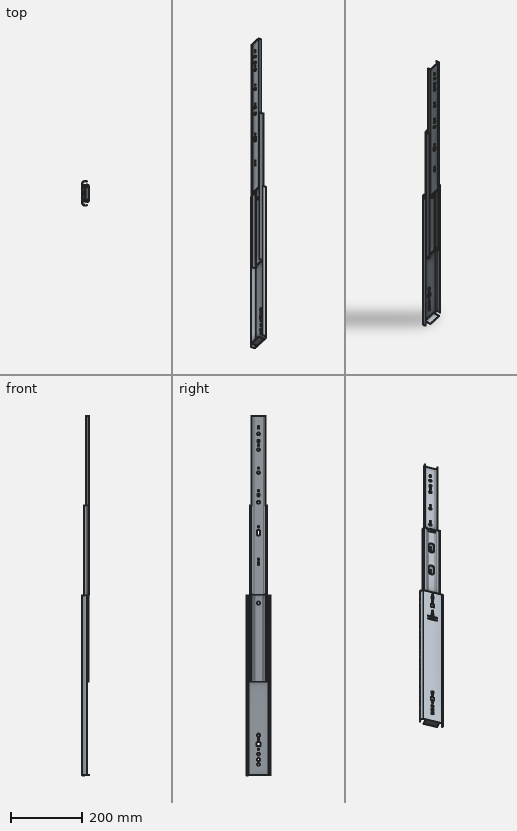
import cadquery as cq
import math

SHEET = 1.5

OUTER_BOTTOM, OUTER_TOP = -503.0, 1.0
OUTER_BACK = -10.0
OUTER_HALF_WIDTH = 70.0 / 2
LIP_X = -0.8
LIP_RADIUS = 9.6
LIP_BEND_END = 34
END_TAB_HALF_WIDTH = 20.0
END_TAB_FRONT = 10.0
LUG_BOTTOM = -505.0
LUG_X = -6.0
LUG_Y = -31.0
LUG_SIZE_X, LUG_SIZE_Y = 4.0, 2.0
BRIDGE_Z = -100.0
BRIDGE_HEIGHT = 10.0
BRIDGE_HALF_WIDTH = 14.0
BRIDGE_FLAT_HALF_WIDTH = 7.0
BRIDGE_DEPTH = 3.0

MIDDLE_BOTTOM, MIDDLE_TOP = -242.0, 254.0
MIDDLE_BACK = -4.5
CHANNEL_FLOOR = -1.0
CHANNEL_FLOOR_HALF = 10.0
CHANNEL_MOUTH_HALF = 17.0
GROOVE_X, GROOVE_Y, GROOVE_RADIUS = -1.0, 29.0, 6.0
ROLL_X, ROLL_RADIUS = 4.5, 4.3
ROLL_END = 95

INNER_BOTTOM, INNER_TOP = 3.0, 505.0
INNER_FRONT = 10.0
INNER_BACK = 1.0
INNER_HALF_WIDTH = 39.0 / 2
INNER_GROOVE_DEPTH = 0.7
INNER_WEB_HALF = 27.0 / 2
ROOT_X = 5.0

BUMPER_HEIGHT = 9.0
BUMPER_DEPTH = 2.0
BUMPER_SIDE_DEPTH = 1.4
BUMPER_FLAT_HALF = 5.0

TOOL_REACH = INNER_FRONT - OUTER_BACK
HOLE_DIAMETER = 8.0
SCREW_DIAMETER = 7.0
PILOT_DIAMETER = 4.0
PILOT_SLOT = (4.0, 8.0)
INNER_HOLES = [263.0]
INNER_SCREWS = [455.0, 435.0, 410.0, 346.0, 283.0]
INNER_PILOTS = [422.0, 359.0, 295.0]
INNER_PILOT_SLOT_Z = 473.0
ACCESS_Z = -20.0
OUTER_HOLES = [ACCESS_Z, -391.0, -460.0]
OUTER_SCREWS = [-87.0, -445.0, -473.0]
OUTER_PILOTS = [-431.0]
OUTER_PILOT_SLOTS = [-11.0, -75.0]
OUTER_KEYWAYS = [(ACCESS_Z, -52.0), (-391.0, -416.0)]
KEYWAY_NECK = 4.0
KEYWAY_SQUARE = 10.0
MIDDLE_WINDOWS = [183.0, 97.0]
WINDOW_SIZE = (15.0, 34.0)
INNER_LOW_PILOTS = [194.0, 103.0]
INNER_LOW_SLOTS = [(177.0, (8.0, 16.0)), (91.0, (4.0, 9.0))]


def polar(x, y, radius, angle):
    """Point on a circle, its angle measured in degrees from +Y towards +X."""
    turn = math.radians(angle)
    return (x + radius * math.sin(turn), y + radius * math.cos(turn))


def rail(half_section, bottom, top):
    """Extrude half a section along Z and mirror it about Y = 0."""
    half = half_section.close().extrude(top - bottom).translate((0, 0, bottom))
    return half.union(half.mirror("XZ"))


def web_tool(z):
    """Workplane on the back of the outer web at height z, facing +X: local x is Y, local y is Z."""
    return cq.Workplane("YZ", origin=(OUTER_BACK, 0, z))


def round_holes(heights, diameter):
    tools = [web_tool(z).circle(diameter / 2).extrude(TOOL_REACH).val() for z in heights]
    return cq.Compound.makeCompound(tools)


def slot(z, size):
    width, length = size
    return web_tool(z).slot2D(length, width, 90).extrude(TOOL_REACH)


def make_outer_rail():
    lip_y = OUTER_HALF_WIDTH - LIP_RADIUS
    web_front = OUTER_BACK + SHEET
    inner_radius = LIP_RADIUS - SHEET

    def lip_start(x, radius):
        return (x, lip_y + math.sqrt(radius**2 - (x - LIP_X) ** 2))

    section = (
        cq.Workplane("XY")
        .moveTo(OUTER_BACK, 0)
        .lineTo(*lip_start(OUTER_BACK, LIP_RADIUS))
        .threePointArc((LIP_X, OUTER_HALF_WIDTH), polar(LIP_X, lip_y, LIP_RADIUS, LIP_BEND_END))
        .lineTo(*polar(LIP_X, lip_y, inner_radius, LIP_BEND_END))
        .threePointArc((LIP_X, OUTER_HALF_WIDTH - SHEET), lip_start(web_front, inner_radius))
        .lineTo(web_front, 0)
    )
    body = rail(section, OUTER_BOTTOM, OUTER_TOP)
    body = body.union(end_tab()).union(stop_lug())
    body = body.cut(round_holes(OUTER_HOLES, HOLE_DIAMETER))
    body = body.cut(round_holes(OUTER_SCREWS, SCREW_DIAMETER))
    body = body.cut(round_holes(OUTER_PILOTS, PILOT_DIAMETER))
    for z in OUTER_PILOT_SLOTS:
        body = body.cut(slot(z, PILOT_SLOT))
    for round_z, square_z in OUTER_KEYWAYS:
        body = body.cut(keyway(round_z, square_z))
    window = web_tool(BRIDGE_Z).rect(2 * BRIDGE_HALF_WIDTH, BRIDGE_HEIGHT).extrude(SHEET)
    return body.cut(window).union(bridge())


def end_tab():
    """Tab bent forward from the lower end of the outer web."""
    length = END_TAB_FRONT - OUTER_BACK
    tab = cq.Workplane("XY").box(length, 2 * END_TAB_HALF_WIDTH, SHEET, centered=(False, True, False))
    return tab.translate((OUTER_BACK, 0, OUTER_BOTTOM))


def stop_lug():
    """Small lug below the -Y flange of the outer rail."""
    height = OUTER_BOTTOM - LUG_BOTTOM
    lug = cq.Workplane("XY").box(LUG_SIZE_X, LUG_SIZE_Y, height, centered=(True, True, False))
    return lug.translate((LUG_X, LUG_Y, LUG_BOTTOM))


def keyway(round_z, square_z):
    """Narrow neck from a round hole down to a square opening."""
    neck = web_tool((round_z + square_z) / 2).rect(KEYWAY_NECK, round_z - square_z).extrude(TOOL_REACH)
    square = web_tool(square_z).rect(KEYWAY_SQUARE, KEYWAY_SQUARE).extrude(TOOL_REACH)
    return neck.union(square)


def bridge():
    """Strip of the outer web pressed inwards across its window."""
    back = OUTER_BACK
    pressed = OUTER_BACK + BRIDGE_DEPTH
    points = [
        (back, BRIDGE_HALF_WIDTH),
        (pressed - SHEET, BRIDGE_FLAT_HALF_WIDTH),
        (pressed - SHEET, -BRIDGE_FLAT_HALF_WIDTH),
        (back, -BRIDGE_HALF_WIDTH),
        (back + SHEET, -BRIDGE_HALF_WIDTH),
        (pressed, -BRIDGE_FLAT_HALF_WIDTH),
        (pressed, BRIDGE_FLAT_HALF_WIDTH),
        (back + SHEET, BRIDGE_HALF_WIDTH),
    ]
    strip = cq.Workplane("XY").polyline(points).close().extrude(BRIDGE_HEIGHT)
    return strip.translate((0, 0, BRIDGE_Z - BRIDGE_HEIGHT / 2))


def make_middle_rail():
    centre_distance = GROOVE_RADIUS + ROLL_RADIUS
    lean = math.degrees(math.asin((ROLL_X - GROOVE_X) / centre_distance))
    roll_y = GROOVE_Y - centre_distance * math.cos(math.radians(lean))

    def groove_at(x, radius):
        return (x, GROOVE_Y - math.sqrt(radius**2 - (x - GROOVE_X) ** 2))

    inner_groove = GROOVE_RADIUS + SHEET
    inner_roll = ROLL_RADIUS - SHEET
    band_front = MIDDLE_BACK + SHEET
    floor_front = CHANNEL_FLOOR + SHEET
    wall_y = (CHANNEL_FLOOR_HALF + CHANNEL_MOUTH_HALF) / 2
    section = (
        cq.Workplane("XY")
        .moveTo(CHANNEL_FLOOR, 0)
        .lineTo(CHANNEL_FLOOR, CHANNEL_FLOOR_HALF)
        .tangentArcPoint(((CHANNEL_FLOOR + MIDDLE_BACK) / 2, wall_y), relative=False)
        .tangentArcPoint((MIDDLE_BACK, CHANNEL_MOUTH_HALF), relative=False)
        .lineTo(*groove_at(MIDDLE_BACK, GROOVE_RADIUS))
        .threePointArc(groove_at(GROOVE_X, GROOVE_RADIUS), polar(ROLL_X, roll_y, ROLL_RADIUS, -lean))
        .threePointArc(polar(ROLL_X, roll_y, ROLL_RADIUS, 0), polar(ROLL_X, roll_y, ROLL_RADIUS, ROLL_END))
        .lineTo(*polar(ROLL_X, roll_y, inner_roll, ROLL_END))
        .threePointArc(polar(ROLL_X, roll_y, inner_roll, 0), polar(ROLL_X, roll_y, inner_roll, -lean))
        .threePointArc(groove_at(GROOVE_X, inner_groove), groove_at(band_front, inner_groove))
        .lineTo(band_front, CHANNEL_MOUTH_HALF)
        .tangentArcPoint(((floor_front + band_front) / 2, wall_y), relative=False)
        .tangentArcPoint((floor_front, CHANNEL_FLOOR_HALF), relative=False)
        .lineTo(floor_front, 0)
    )
    body = rail(section, MIDDLE_BOTTOM, MIDDLE_TOP)
    for z in MIDDLE_WINDOWS:
        body = body.cut(slot(z, WINDOW_SIZE))
    return body.cut(round_holes([ACCESS_Z], HOLE_DIAMETER))


def make_inner_rail():
    middle_x = (INNER_FRONT + INNER_BACK) / 2
    groove_y = INNER_HALF_WIDTH - INNER_GROOVE_DEPTH
    root_y = groove_y - SHEET
    web_back = INNER_FRONT - SHEET
    section = (
        cq.Workplane("XY")
        .moveTo(INNER_FRONT, 0)
        .lineTo(INNER_FRONT, INNER_HALF_WIDTH)
        .threePointArc((middle_x, groove_y), (INNER_BACK, INNER_HALF_WIDTH))
        .lineTo(INNER_BACK, INNER_HALF_WIDTH - SHEET)
        .lineTo(ROOT_X, root_y)
        .tangentArcPoint((web_back, INNER_WEB_HALF), relative=False)
        .lineTo(web_back, 0)
    )
    body = rail(section, INNER_BOTTOM, INNER_TOP)
    body = body.cut(round_holes(INNER_HOLES, HOLE_DIAMETER))
    body = body.cut(round_holes(INNER_SCREWS, SCREW_DIAMETER))
    body = body.cut(round_holes(INNER_PILOTS + INNER_LOW_PILOTS, PILOT_DIAMETER))
    body = body.cut(slot(INNER_PILOT_SLOT_Z, PILOT_SLOT))
    for z, size in INNER_LOW_SLOTS:
        body = body.cut(slot(z, size))
    return body


def make_bumper():
    """Block seated on the channel floor, flush with the top of the middle rail."""
    back = CHANNEL_FLOOR - BUMPER_DEPTH
    side_back = CHANNEL_FLOOR - BUMPER_SIDE_DEPTH
    points = [
        (CHANNEL_FLOOR, CHANNEL_FLOOR_HALF),
        (side_back, CHANNEL_FLOOR_HALF),
        (back, BUMPER_FLAT_HALF),
        (back, -BUMPER_FLAT_HALF),
        (side_back, -CHANNEL_FLOOR_HALF),
        (CHANNEL_FLOOR, -CHANNEL_FLOOR_HALF),
    ]
    block = cq.Workplane("XY").polyline(points).close().extrude(BUMPER_HEIGHT)
    return block.translate((0, 0, MIDDLE_TOP - BUMPER_HEIGHT))


outer_rail = make_outer_rail()
middle_rail = make_middle_rail()
inner_rail = make_inner_rail()
bumper = make_bumper()

result = cq.Compound.makeCompound([outer_rail.val(), middle_rail.val(), inner_rail.val(), bumper.val()])